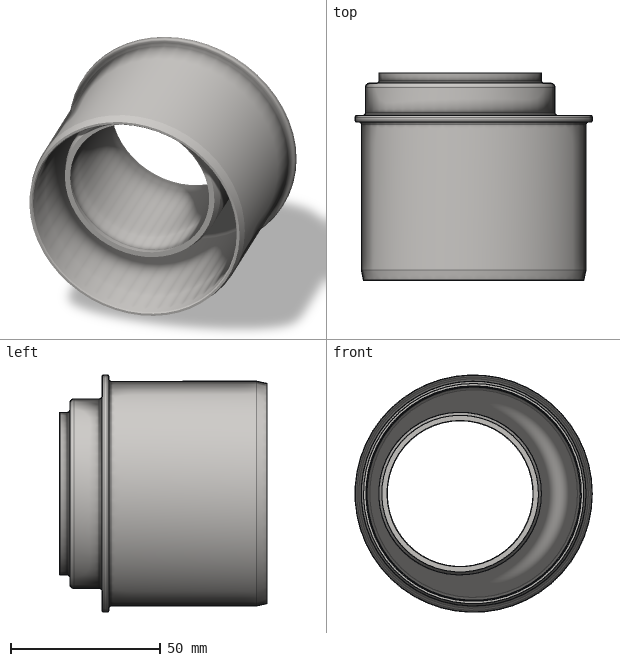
import cadquery as cq

sleeve_diameter = 75.2
sleeve_bore_diameter = 71.4
mouth_diameter = 73.7
mouth_bore_diameter = 72.1
mouth_taper_length = 3.5
mouth_bore_chamfer = 0.4

flange_diameter = 79.4
flange_start = 52.95
flange_end = 55.2
flange_edge_radius = 0.6
sleeve_root_radius = 0.8

eccentric_offset = -4.5
collar_diameter = 63.45
collar_end = 66.0
collar_edge_radius = 1.4
collar_root_radius = 1.0
spigot_diameter = 54.4
spigot_tip_chamfer = 0.15
spigot_root_radius = 0.9
total_length = 69.5

floor_depth = 53.2
floor_corner_radius = 0.95

tube_diameter = spigot_diameter
tube_bore_diameter = 50.8
tube_start = 20.25
tube_tip_diameter = 52.4
tube_tip_bore_diameter = 48.75
tube_tip_length = 3.65


def disc(diameter, start, end, x=0):
    """Cylinder along +Y from start to end."""
    return cq.Workplane("XZ", origin=(x, start, 0)).circle(diameter / 2).extrude(start - end)


def cone(start_diameter, end_diameter, start, end, x=0):
    """Frustum along +Y from start to end."""
    solid = cq.Solid.makeCone(
        start_diameter / 2, end_diameter / 2, end - start, cq.Vector(x, start, 0), cq.Vector(0, 1, 0)
    )
    return cq.Workplane(obj=solid)


def root_edge(body, x, y, radius):
    """Circular edge of the body with the given centre and radius."""
    margin = 0.1
    box = cq.selectors.BoxSelector(
        (x - radius - margin, y - margin, -radius - margin),
        (x + radius + margin, y + margin, radius + margin),
        boundingbox=True,
    )
    return body.edges(box).edges(cq.selectors.RadiusNthSelector(-1))


sleeve = cone(mouth_diameter, sleeve_diameter, 0, mouth_taper_length).union(
    disc(sleeve_diameter, mouth_taper_length, flange_start)
)
flange = disc(flange_diameter, flange_start, flange_end).edges().fillet(flange_edge_radius)
collar = disc(collar_diameter, flange_end, collar_end, eccentric_offset)
collar = collar.faces(">Y").edges().fillet(collar_edge_radius)
spigot = disc(spigot_diameter, collar_end, total_length, eccentric_offset)
spigot = spigot.faces(">Y").edges().chamfer(spigot_tip_chamfer)
body = sleeve.union(flange).union(collar).union(spigot)

body = root_edge(body, 0, flange_start, sleeve_diameter / 2).fillet(sleeve_root_radius)
body = root_edge(body, eccentric_offset, flange_end, collar_diameter / 2).fillet(collar_root_radius)
body = root_edge(body, eccentric_offset, collar_end, spigot_diameter / 2).fillet(spigot_root_radius)

mouth = cone(mouth_bore_diameter, sleeve_bore_diameter, 0, mouth_bore_chamfer)
cavity = disc(sleeve_bore_diameter, 0, floor_depth).faces(">Y").edges().fillet(floor_corner_radius)
body = body.cut(cavity).cut(mouth)

tip_end = tube_start + tube_tip_length
tube = cone(tube_tip_diameter, tube_diameter, tube_start, tip_end, eccentric_offset).union(
    disc(tube_diameter, tip_end, collar_end, eccentric_offset)
)
tip_bore = cone(tube_tip_bore_diameter, tube_bore_diameter, tube_start, tip_end, eccentric_offset)
tube_bore = disc(tube_bore_diameter, tip_end, total_length, eccentric_offset)

result = body.union(tube).cut(tip_bore).cut(tube_bore)